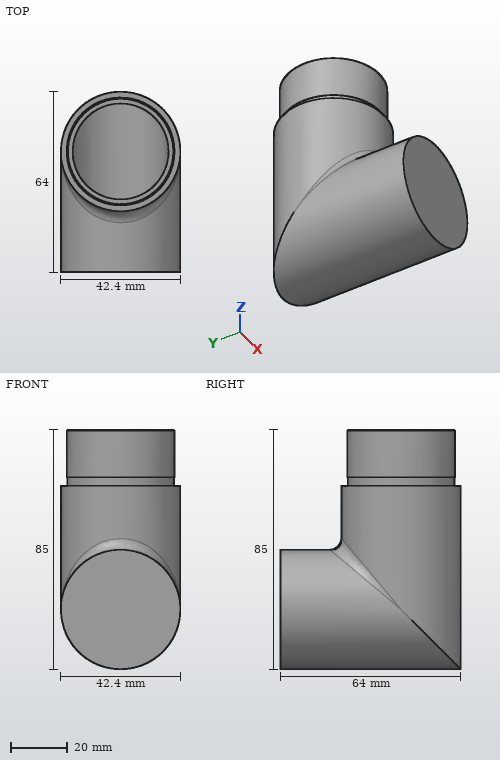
import cadquery as cq

tube_diameter = 42.4
bore_diameter = 34.0
tube_radius = tube_diameter / 2
wall = (tube_diameter - bore_diameter) / 2

overall_length = 64.0
overall_height = 85.0
level_reach = overall_length - tube_radius
top_z = overall_height - tube_radius

spigot_diameter = 38.3
spigot_length = 20.0
spigot_chamfer = 0.5
groove_diameter = 37.9
groove_width = 3.0
shoulder_z = top_z - spigot_length

crotch_radius = 4.0

bore_reach = level_reach - wall


def side_prism(outline, width):
    """Prism across X, centred on X = 0, from an outline of (y, z) points."""
    return cq.Workplane("YZ").polyline(outline).close().extrude(width / 2, both=True)


def mitred_elbow(diameter, reach_y, reach_z):
    """Cylinder toward +Z and cylinder toward -Y, joined on the mitre plane z = -y."""
    radius = diameter / 2
    heel = (radius, -radius)
    crotch = (-radius, radius)

    upright = cq.Workplane("XY", origin=(0, 0, -radius)).circle(radius).extrude(reach_z + radius)
    upright_side = side_prism([heel, crotch, (-radius, reach_z), (radius, reach_z)], 2 * diameter)

    level = cq.Workplane("XZ", origin=(0, radius, 0)).circle(radius).extrude(reach_y + radius)
    level_side = side_prism([heel, crotch, (-reach_y, radius), (-reach_y, -radius)], 2 * diameter)

    return upright.intersect(upright_side).union(level.intersect(level_side))


def filleted_crotch(elbow):
    """Quarter of the elbow with y < 0 and z > 0, its mitre edge rounded.

    The fillet narrows to nothing on the tube sides, where this quarter ends.
    """
    quadrant = [(0, 0), (0, shoulder_z), (-level_reach, shoulder_z), (-level_reach, 0)]
    quarter = elbow.intersect(side_prism(quadrant, 2 * tube_diameter))
    return quarter.edges("%ELLIPSE").fillet(crotch_radius)


def spigot():
    """Groove and spigot standing on the shoulder of the upright tube."""
    groove = cq.Workplane("XY", origin=(0, 0, shoulder_z)).circle(groove_diameter / 2).extrude(groove_width)
    collar = (
        cq.Workplane("XY", origin=(0, 0, shoulder_z + groove_width))
        .circle(spigot_diameter / 2)
        .extrude(spigot_length - groove_width)
        .faces(">Z")
        .chamfer(spigot_chamfer)
    )
    return groove.union(collar)


outer_elbow = mitred_elbow(tube_diameter, level_reach, shoulder_z)
body = outer_elbow.union(filleted_crotch(outer_elbow)).union(spigot())
bore = mitred_elbow(bore_diameter, bore_reach, top_z)
result = body.cut(bore)